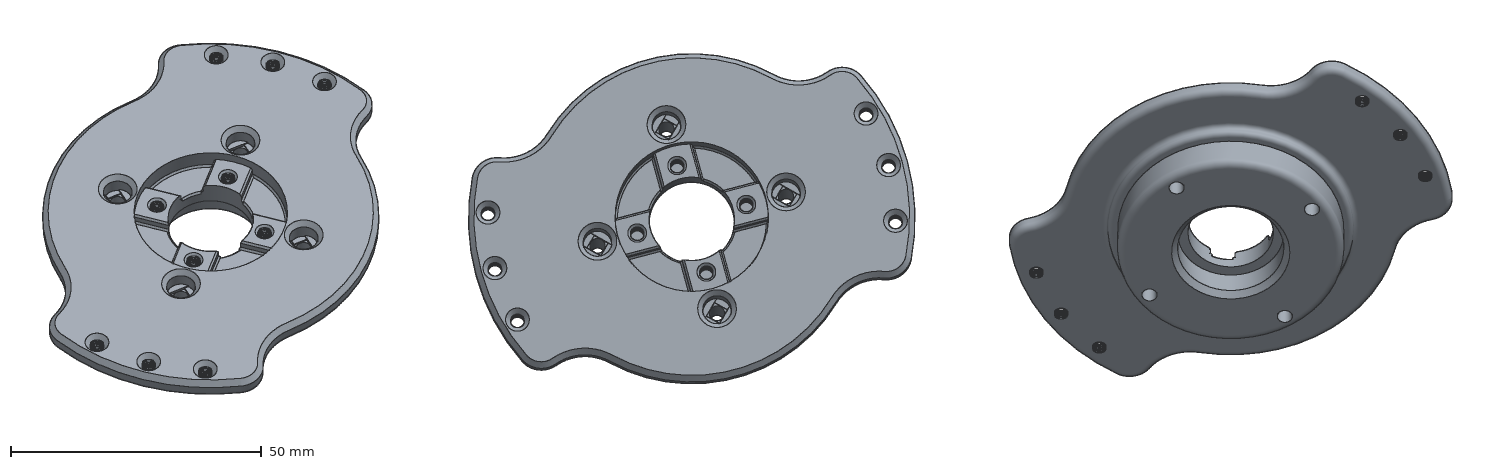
import cadquery as cq
import math

total_height = 13.0
plate_thickness = 4.0
plate_bottom = total_height - plate_thickness

disc_radius = 33.5
lobe_radius = 44.5
lobe_corner_radius = 5.0
lobe_blend_radius = 10.0
lobe_half_angle = 25.65
lobe_directions = (135.0, 315.0)
plate_top_chamfer = 1.1
plate_bottom_fillet = 1.3

collar_radius = 24.5
collar_fillet = 1.0
collar_bottom = plate_bottom - 2 * collar_fillet
boss_radius = 45.1 / 2
boss_fillet = 1.5

pocket_radius = 30.53 / 2
pocket_depth = 4.0
floor_chamfer = 0.4
bore_radius = 17.0 / 2
recess_radius = 21.15 / 2
recess_depth = 6.2
recess_chamfer = 1.2
pocket_floor = total_height - pocket_depth

diagonals = (45.0, 135.0, 225.0, 315.0)
pad_width = 8.0
pad_height = 2.0
pad_chamfer = 0.4
pad_top = pocket_floor + pad_height
pad_hole_circle_radius = 11.25
pad_hole_chamfer = 0.5
pad_hole_depth = 4.2

thread_minor_diameter = 2.73
thread_major_diameter = 3.29
thread_pitch = 0.5
thread_flank_angle = 30.0
thread_crest_width = 0.12

screw_circle_radius = 19.45
screw_hole_diameter = 3.0
screw_head_diameter = 5.7
screw_head_chamfer = 1.0
screw_head_depth = 3.6
bridge_step = 0.3
bridge_width = 3.0
bridge_length = 3.2

lobe_hole_circle_radius = 40.6
lobe_hole_spacing_angle = 16.2
lobe_hole_chamfer = 1.0


def polar(radius, angle):
    return (radius * math.cos(math.radians(angle)), radius * math.sin(math.radians(angle)))


def point_between(start, end, distance):
    """Point at the given distance from start on the line towards end."""
    ratio = distance / math.dist(start, end)
    return (start[0] + (end[0] - start[0]) * ratio, start[1] + (end[1] - start[1]) * ratio)


def make_plate():
    corner_distance = lobe_radius - lobe_corner_radius
    blend_distance = disc_radius + lobe_blend_radius
    centre_gap = lobe_corner_radius + lobe_blend_radius
    blend_offset = math.degrees(math.acos(
        (corner_distance**2 + blend_distance**2 - centre_gap**2)
        / (2 * corner_distance * blend_distance)
    ))
    blend_angle = lobe_half_angle + blend_offset

    outline = cq.Workplane("XY", origin=(0, 0, plate_bottom))
    outline = outline.moveTo(*polar(disc_radius, lobe_directions[0] - blend_angle))
    for direction in lobe_directions:
        corner_in = polar(corner_distance, direction - lobe_half_angle)
        corner_out = polar(corner_distance, direction + lobe_half_angle)
        blend_in = polar(blend_distance, direction - blend_angle)
        blend_out = polar(blend_distance, direction + blend_angle)
        tangent_in = point_between(corner_in, blend_in, lobe_corner_radius)
        tangent_out = point_between(corner_out, blend_out, lobe_corner_radius)
        lobe_start = polar(lobe_radius, direction - lobe_half_angle)
        lobe_end = polar(lobe_radius, direction + lobe_half_angle)
        outline = (
            outline
            .radiusArc(tangent_in, lobe_blend_radius)
            .radiusArc(lobe_start, -lobe_corner_radius)
            .threePointArc(polar(lobe_radius, direction), lobe_end)
            .radiusArc(tangent_out, -lobe_corner_radius)
            .radiusArc(polar(disc_radius, direction + blend_angle), lobe_blend_radius)
            .threePointArc(
                polar(disc_radius, direction + 90),
                polar(disc_radius, direction + 180 - blend_angle),
            )
        )
    plate = outline.close().extrude(plate_thickness)
    plate = plate.faces(">Z").edges().chamfer(plate_top_chamfer)
    return plate.faces("<Z").edges().fillet(plate_bottom_fillet)


def make_collar_and_boss():
    """Collar with a concave blend into the plate and a rounded lower edge, above the boss."""
    arc_point = collar_fillet * (1 - math.sqrt(0.5))
    profile = (
        cq.Workplane("XZ")
        .lineTo(boss_radius - boss_fillet, 0)
        .radiusArc((boss_radius, boss_fillet), -boss_fillet)
        .lineTo(boss_radius, collar_bottom)
        .lineTo(collar_radius - collar_fillet, collar_bottom)
        .threePointArc(
            (collar_radius - arc_point, collar_bottom + arc_point),
            (collar_radius, collar_bottom + collar_fillet),
        )
        .threePointArc(
            (collar_radius + arc_point, plate_bottom - arc_point),
            (collar_radius + collar_fillet, plate_bottom),
        )
        .lineTo(0, plate_bottom)
        .close()
    )
    return profile.revolve(360, (0, 0, 0), (0, 1, 0))


def cylinder(radius, bottom, top):
    return cq.Workplane("XY", origin=(0, 0, bottom)).circle(radius).extrude(top - bottom)


def make_pocket():
    """Pocket cutter, bevelled at the foot of its wall, with the pads left out."""
    pocket = cylinder(pocket_radius, pocket_floor, total_height)
    pocket = pocket.faces("<Z").edges().chamfer(floor_chamfer)
    for angle in diagonals:
        pocket = pocket.cut(make_pad(angle))
    return pocket


def make_pad(angle):
    """Long pad prism along a diagonal, with bevelled top edges and bevelled feet."""
    half = pad_width / 2
    profile = [
        (-half - pad_chamfer, pocket_floor),
        (-half, pocket_floor + pad_chamfer),
        (-half, pad_top - pad_chamfer),
        (-half + pad_chamfer, pad_top),
        (half - pad_chamfer, pad_top),
        (half, pad_top - pad_chamfer),
        (half, pocket_floor + pad_chamfer),
        (half + pad_chamfer, pocket_floor),
    ]
    pad = cq.Workplane("YZ").polyline(profile).close().extrude(pocket_radius)
    return pad.rotate((0, 0, 0), (0, 0, 1), angle)


def make_bore():
    """Through bore, bevelled at the pocket floor between the pads, with a recess below."""
    bore = cylinder(bore_radius, 0, total_height)
    bevel = make_hole(2 * bore_radius, floor_chamfer, pocket_floor, recess_depth)
    for angle in diagonals:
        pad_foot = (
            cq.Workplane("XY", origin=(0, 0, pocket_floor - floor_chamfer))
            .center(pocket_radius / 2, 0)
            .rect(pocket_radius, pad_width + 2 * pad_chamfer)
            .extrude(floor_chamfer)
            .rotate((0, 0, 0), (0, 0, 1), angle)
        )
        bevel = bevel.cut(pad_foot)
    recess = make_hole(2 * recess_radius, recess_chamfer, 0, recess_depth)
    return bore.union(bevel).union(recess)


def make_hole(diameter, chamfer, mouth, end):
    """Hole cutter from mouth to end, going up or down, with a 45 degree bevel at the mouth."""
    radius = diameter / 2
    inward = math.copysign(1, end - mouth)
    profile = [
        (0, end),
        (radius, end),
        (radius, mouth + inward * chamfer),
        (radius + chamfer, mouth),
        (0, mouth),
    ]
    return cq.Workplane("XZ").polyline(profile).close().revolve(360, (0, 0, 0), (0, 1, 0))


def make_threaded_hole(chamfer, mouth, end):
    """Bevelled hole cutter with M3 thread grooves, modelled as rings, below the bevel."""
    minor = thread_minor_diameter / 2
    major = thread_major_diameter / 2
    slope = (major - minor) * math.tan(math.radians(thread_flank_angle))
    groove_count = math.floor((mouth - chamfer - end) / thread_pitch)
    root_width = thread_pitch - 2 * slope - thread_crest_width

    profile = cq.Workplane("XZ").moveTo(0, mouth)
    profile = profile.lineTo(minor + chamfer, mouth)
    for groove in range(groove_count):
        groove_top = mouth - chamfer - groove * thread_pitch
        root_top = groove_top - slope
        root_bottom = root_top - root_width
        profile = (
            profile
            .lineTo(minor, groove_top)
            .lineTo(major, root_top)
            .lineTo(major, root_bottom)
            .lineTo(minor, root_bottom - slope)
        )
    profile = profile.lineTo(minor, end).lineTo(0, end).close()
    return profile.revolve(360, (0, 0, 0), (0, 1, 0))


def make_screw_hole(slot_angle):
    """Counterbored hole cutter with the stepped slot and rectangle below the counterbore."""
    head_floor = total_height - screw_head_depth
    slot_floor = head_floor - bridge_step
    rectangle_floor = slot_floor - bridge_step
    head = make_hole(screw_head_diameter, screw_head_chamfer, total_height, head_floor)
    slot = cylinder(screw_head_diameter / 2, slot_floor, head_floor).intersect(
        cq.Workplane("XY", origin=(0, 0, slot_floor))
        .rect(bridge_width, screw_head_diameter)
        .extrude(bridge_step)
    )
    rectangle = (
        cq.Workplane("XY", origin=(0, 0, rectangle_floor))
        .rect(bridge_width, bridge_length)
        .extrude(bridge_step)
    )
    shank = cylinder(screw_hole_diameter / 2, 0, head_floor)
    cutter = head.union(slot).union(rectangle).union(shank)
    return cutter.rotate((0, 0, 0), (0, 0, 1), slot_angle)


def place(cutter, radius, angle):
    x, y = polar(radius, angle)
    return cutter.translate((x, y, 0))


result = make_plate().union(make_collar_and_boss())
result = result.cut(make_pocket()).cut(make_bore())

pad_hole = make_threaded_hole(pad_hole_chamfer, pad_top, pad_top - pad_hole_depth)
lobe_hole = make_threaded_hole(lobe_hole_chamfer, total_height, plate_bottom)

for angle in diagonals:
    slot_angle = 0 if angle in lobe_directions else 90
    result = result.cut(place(pad_hole, pad_hole_circle_radius, angle))
    result = result.cut(place(make_screw_hole(slot_angle), screw_circle_radius, angle))

for direction in lobe_directions:
    for step in (-1, 0, 1):
        angle = direction + step * lobe_hole_spacing_angle
        result = result.cut(place(lobe_hole, lobe_hole_circle_radius, angle))